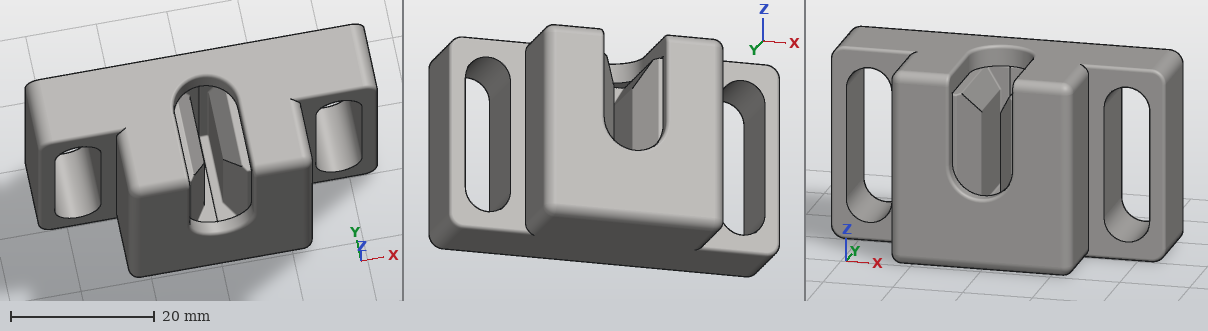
import cadquery as cq
import math

WIDTH = 48.0
DEPTH = 20.0
HEIGHT = 28.0

FLANGE_DEPTH = 10.05
FLANGE_CORNER = 2.0
FLANGE_EDGE = 0.5
BLOCK_WIDTH = 26.0
BLOCK_EDGE = 1.5

MOUNT_WIDTH = 6.55
MOUNT_LENGTH = 22.5
MOUNT_OFFSET = 18.5

OPENING_RADIUS = 4.5
OPENING_EDGE = 0.5
FRONT_ARC_DROP = 13.0
TOP_ARC_DEPTH = 11.55

FRONT_LIP = 2.0
TOP_LIP = 2.95

GUIDE_WIDTH = 6.0
GUIDE_WALL = 1.0
GUIDE_EDGE = 0.25
GUIDE_GAP = 0.25
BACK_MARGIN = 0.6
FLOOR_MARGIN = 2.9
PASSAGE_HALF_WIDTH = 1.35
FRONT_MOUTH = 3.95
FRONT_TAPER = 4.1
TOP_MOUTH = 3.4
TOP_TAPER = 3.45

flange_front = DEPTH - FLANGE_DEPTH
front_arc_height = HEIGHT - FRONT_ARC_DROP
cavity_top = HEIGHT - TOP_LIP
guide_top = cavity_top - GUIDE_GAP
passage_back = TOP_ARC_DEPTH + OPENING_RADIUS + BACK_MARGIN
passage_floor = front_arc_height - OPENING_RADIUS - FLOOR_MARGIN
guide_back = passage_back + GUIDE_WALL
guide_bottom = passage_floor - GUIDE_WALL

OVERCUT = 0.95
TOLERANCE = 0.005


def box(x_range, y_range, z_range):
    """Box given by its limits along each axis."""
    size = [high - low for low, high in (x_range, y_range, z_range)]
    corner = (x_range[0], y_range[0], z_range[0])
    return cq.Workplane("XY").box(*size, centered=False).translate(corner)


def make_flange():
    """Plate with rounded corners, a rounded front rim and two upright mounting slots."""
    flange = box((-WIDTH / 2, WIDTH / 2), (flange_front, DEPTH), (0, HEIGHT))
    flange = flange.edges("|Y").fillet(FLANGE_CORNER)
    flange = flange.faces("<Y").edges().fillet(FLANGE_EDGE)
    mounts = (
        cq.Workplane("XZ", origin=(0, DEPTH, HEIGHT / 2))
        .pushPoints([(-MOUNT_OFFSET, 0), (MOUNT_OFFSET, 0)])
        .slot2D(MOUNT_LENGTH, MOUNT_WIDTH, 90)
        .extrude(FLANGE_DEPTH)
    )
    return flange.cut(mounts)


def make_block():
    """Block with rounded front and side edges, set into the flange past its rounded rim."""
    half_width = BLOCK_WIDTH / 2
    block = box((-half_width, half_width), (0, flange_front + FLANGE_EDGE), (0, HEIGHT))
    return block.edges("|Y or <Y").fillet(BLOCK_EDGE)


def opening(plane, arc_centre, open_end, length):
    """Straight-sided cut with one round end, extruded along the plane's normal."""
    end_direction = math.copysign(1, arc_centre - open_end)
    round_end = arc_centre + end_direction * OPENING_RADIUS
    return (
        plane.moveTo(-OPENING_RADIUS, open_end)
        .lineTo(-OPENING_RADIUS, arc_centre)
        .threePointArc((0, round_end), (OPENING_RADIUS, arc_centre))
        .lineTo(OPENING_RADIUS, open_end)
        .close()
        .extrude(length)
    )


def rim_edges(y_range, z_range):
    """Selector for edges lying wholly inside a region as wide as the openings."""
    low = (-OPENING_RADIUS - TOLERANCE, y_range[0] - TOLERANCE, z_range[0] - TOLERANCE)
    high = (OPENING_RADIUS + TOLERANCE, y_range[1] + TOLERANCE, z_range[1] + TOLERANCE)
    return cq.selectors.BoxSelector(low, high, boundingbox=True)


def cut_openings(body):
    """Cut both openings through their lips and round the outer rim they share."""
    front_plane = cq.Workplane("XZ", origin=(0, FRONT_LIP + OVERCUT, 0))
    top_plane = cq.Workplane("XY", origin=(0, 0, cavity_top - OVERCUT))
    front_cut = opening(front_plane, front_arc_height, HEIGHT + OVERCUT, FRONT_LIP + 2 * OVERCUT)
    top_cut = opening(top_plane, TOP_ARC_DEPTH, -OVERCUT, TOP_LIP + 2 * OVERCUT)
    body = body.cut(front_cut).cut(top_cut)

    edge_start = HEIGHT - BLOCK_EDGE
    front_rim = rim_edges((0, 0), (front_arc_height - OPENING_RADIUS, edge_start))
    corner_rim = rim_edges((0, BLOCK_EDGE), (edge_start, HEIGHT))
    top_rim = rim_edges((BLOCK_EDGE, TOP_ARC_DEPTH + OPENING_RADIUS), (HEIGHT, HEIGHT))
    return body.edges(front_rim + corner_rim + top_rim).fillet(OPENING_EDGE)


def make_housing():
    """Flange and block in one piece, with the openings leading into a cavity for the guides."""
    housing = cut_openings(make_flange().union(make_block()))
    cavity = box((-GUIDE_WIDTH, GUIDE_WIDTH), (FRONT_LIP, guide_back), (guide_bottom, cavity_top))
    return housing.cut(cavity)


def funnel(plane, mouth_half_width, mouth, throat, passage_end, length):
    """Half of a tapering mouth that leads into the passage, extruded along the plane's normal."""
    outline = [
        (0, mouth),
        (mouth_half_width, mouth),
        (PASSAGE_HALF_WIDTH, throat),
        (PASSAGE_HALF_WIDTH, passage_end),
        (0, passage_end),
    ]
    return plane.polyline(outline).close().extrude(length)


def make_guide():
    """Right-hand guide: funnels from the front and the top, with a rear wall and a floor."""
    guide = box((0, GUIDE_WIDTH), (FRONT_LIP, guide_back), (guide_bottom, guide_top))
    front_funnel = funnel(
        cq.Workplane("XY", origin=(0, 0, passage_floor)),
        FRONT_MOUTH, FRONT_LIP, FRONT_LIP + FRONT_TAPER, passage_back,
        guide_top - passage_floor,
    )
    top_funnel = funnel(
        cq.Workplane("XZ", origin=(0, passage_back, 0)),
        TOP_MOUTH, guide_top, guide_top - TOP_TAPER, passage_floor,
        passage_back - FRONT_LIP,
    )
    guide = guide.cut(front_funnel).cut(top_funnel)
    return guide.edges("#X or #Y or #Z").fillet(GUIDE_EDGE)


housing = make_housing()
right_guide = make_guide()
left_guide = right_guide.mirror("YZ")

result = cq.Compound.makeCompound([housing.val(), right_guide.val(), left_guide.val()])